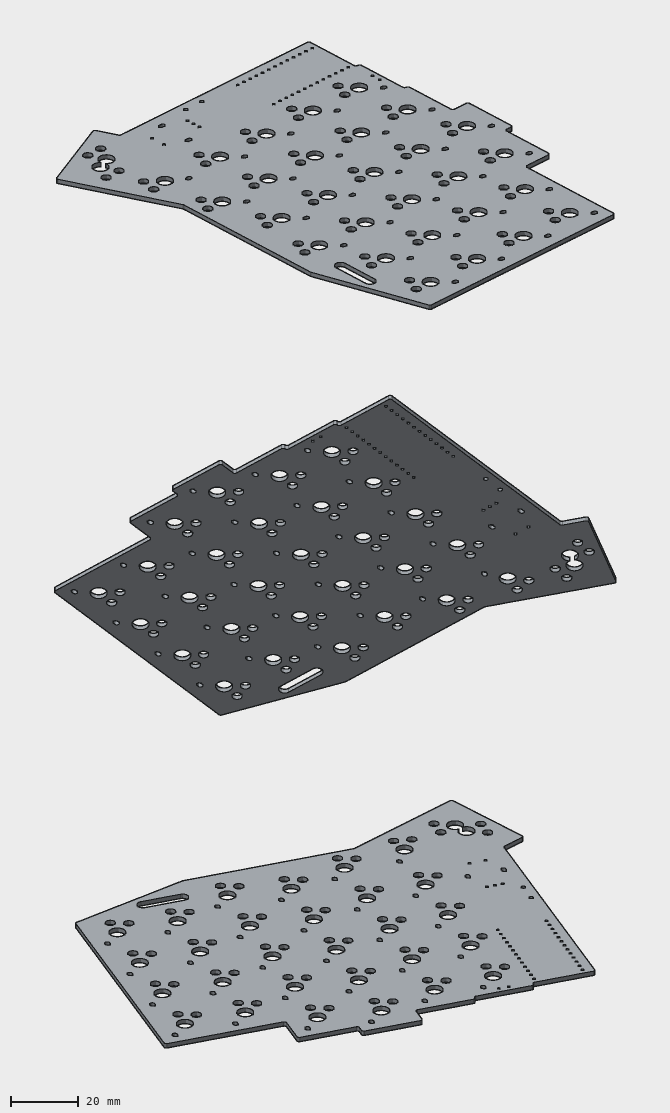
import cadquery as cq
import math

LENGTH = 141.02
WIDTH = 117.38
THICKNESS = 1.51

THUMB_TILT = 24.3
THUMB_BOTTOM_X = 12.2
MAIN_LEFT_X = 7.35
BOTTOM_Y = 16.4
SLANT_START_X = 102.8
RIGHT_LOW_Y = 28.4
RIGHT_TOP_Y = 104.0
STEP_X = (27.2, 46.1, 65.0, 84.0, 103.1)
STEP_Y = (108.1, 109.7, 111.15, WIDTH, 114.2)
CORNER_RADIUS = 0.7
ROUNDING_LOSS = CORNER_RADIUS * (
    math.cos(math.radians(THUMB_TILT)) + math.sin(math.radians(THUMB_TILT)) - 1
)

KEY_PITCH_X = 18.95
KEY_PITCH_Y = 18.98
FIRST_KEY_X = 36.6
COLUMNS = (
    (100.35, 4),
    (101.85, 5),
    (107.85, 5),
    (104.9, 5),
    (94.87, 4),
    (94.87, 4),
)
STEM_DIAMETER = 5.0
CONTACT_DIAMETER = 3.0
CONTACTS = ((-5.0, -3.8), (0.0, -5.9))
LOCATOR = (5.0, 5.15)
LOCATOR_WIDTH = 1.5
LOCATOR_LENGTH = 2.05
THUMB_KEY = (35.3, 22.05)
THUMB_KEY_ANGLE = 12.0
WIDE_KEY = (15.4, 16.15)
WIDE_KEY_STEM_OFFSET = 2.4

HEADER_PITCH = 2.54
HEADER_PINS = 13
HEADER_ROWS_X = (10.7, 25.94)
HEADER_BOTTOM_Y = 75.7
HEADER_DIAMETER = 0.81

LINK_PINS = ((34.5, 107.85), (37.6, 107.85))
LINK_DIAMETER = 0.81

BUTTON_X = 10.2
BUTTON_Y = 58.2
BUTTON_SPACING = 6.5
BUTTON_DIAMETER = 1.3

ENCODER = (17.65, 43.35)
ENCODER_PIN_PITCH = 2.5
ENCODER_UPPER_Y = 7.5
ENCODER_LOWER_Y = -7.0
ENCODER_PIN_DIAMETER = 0.9
ENCODER_LUG_X = 5.65
ENCODER_LUG_WIDTH = 1.4
ENCODER_LUG_LENGTH = 2.2

STRAP_SLOT = (112.4, 25.4)
STRAP_SLOT_LENGTH = 16.0
STRAP_SLOT_WIDTH = 3.6


def moved(point, origin, angle=0.0):
    """Turn a local point counterclockwise by an angle in degrees and shift it to an origin."""
    x, y = point
    c = math.cos(math.radians(angle))
    s = math.sin(math.radians(angle))
    return (origin[0] + c * x - s * y, origin[1] + s * x + c * y)


def round_cutters(points, diameter):
    """Through-cutters for round holes."""
    return cq.Workplane("XY").pushPoints(points).circle(diameter / 2).extrude(THICKNESS).vals()


def slot_cutters(center, length, width, angle):
    """Through-cutter for a round-ended slot whose long axis lies at an angle to X."""
    return cq.Workplane("XY").center(*center).slot2D(length, width, angle).extrude(THICKNESS).vals()


def plate():
    """Plate with every corner of its outline rounded."""
    slope = math.tan(math.radians(THUMB_TILT))
    bottom = (THUMB_BOTTOM_X, -ROUNDING_LOSS)
    left_y = (THUMB_BOTTOM_X + ROUNDING_LOSS) / slope - ROUNDING_LOSS
    points = [
        bottom,
        (THUMB_BOTTOM_X + (BOTTOM_Y + ROUNDING_LOSS) / slope, BOTTOM_Y),
        (SLANT_START_X, BOTTOM_Y),
        (LENGTH, RIGHT_LOW_Y),
        (LENGTH, RIGHT_TOP_Y),
        (STEP_X[4], RIGHT_TOP_Y),
        (STEP_X[4], STEP_Y[4]),
        (STEP_X[3], STEP_Y[4]),
        (STEP_X[3], STEP_Y[3]),
        (STEP_X[2], STEP_Y[3]),
        (STEP_X[2], STEP_Y[2]),
        (STEP_X[1], STEP_Y[2]),
        (STEP_X[1], STEP_Y[1]),
        (STEP_X[0], STEP_Y[1]),
        (STEP_X[0], STEP_Y[0]),
        (MAIN_LEFT_X, STEP_Y[0]),
        (MAIN_LEFT_X, left_y + (MAIN_LEFT_X + ROUNDING_LOSS) * slope),
        (-ROUNDING_LOSS, left_y),
    ]
    blank = cq.Workplane("XY").polyline(points).close().extrude(THICKNESS)
    return blank.edges("|Z").fillet(CORNER_RADIUS)


def stem_and_contact_cutters(center, angle):
    contacts = [moved(contact, center, angle) for contact in CONTACTS]
    return round_cutters([center], STEM_DIAMETER) + round_cutters(contacts, CONTACT_DIAMETER)


def key_cutters(center, angle=0.0):
    locator = moved(LOCATOR, center, angle)
    slot = slot_cutters(locator, LOCATOR_LENGTH, LOCATOR_WIDTH, 90 + angle)
    return stem_and_contact_cutters(center, angle) + slot


def key_grid_cutters():
    cutters = []
    for column, (top_y, count) in enumerate(COLUMNS):
        x = FIRST_KEY_X + column * KEY_PITCH_X
        for row in range(count):
            cutters += key_cutters((x, top_y - row * KEY_PITCH_Y))
    return cutters


def wide_key_cutters():
    """Two overlapping hole sets, so that the key can be fitted either way round."""
    cutters = []
    for angle in (THUMB_TILT + 90, THUMB_TILT - 90):
        stem = moved((-WIDE_KEY_STEM_OFFSET, 0), WIDE_KEY, angle)
        cutters += stem_and_contact_cutters(stem, angle)
    return cutters


def header_cutters():
    heights = [HEADER_BOTTOM_Y + pin * HEADER_PITCH for pin in range(HEADER_PINS)]
    pins = [(x, y) for x in HEADER_ROWS_X for y in heights]
    return round_cutters(pins, HEADER_DIAMETER)


def button_cutters():
    pins = [(BUTTON_X, BUTTON_Y + side * BUTTON_SPACING / 2) for side in (-1, 1)]
    return round_cutters(pins, BUTTON_DIAMETER)


def encoder_cutters():
    upper = [(step * ENCODER_PIN_PITCH, ENCODER_UPPER_Y) for step in (-1, 0, 1)]
    lower = [(step * ENCODER_PIN_PITCH, ENCODER_LOWER_Y) for step in (-1, 1)]
    pins = [moved(pin, ENCODER) for pin in upper + lower]
    cutters = round_cutters(pins, ENCODER_PIN_DIAMETER)
    for side in (-1, 1):
        lug = moved((side * ENCODER_LUG_X, 0), ENCODER)
        cutters += slot_cutters(lug, ENCODER_LUG_LENGTH, ENCODER_LUG_WIDTH, 90)
    return cutters


all_cutters = (
    key_grid_cutters()
    + key_cutters(THUMB_KEY, THUMB_KEY_ANGLE)
    + wide_key_cutters()
    + header_cutters()
    + round_cutters(LINK_PINS, LINK_DIAMETER)
    + button_cutters()
    + encoder_cutters()
    + slot_cutters(STRAP_SLOT, STRAP_SLOT_LENGTH, STRAP_SLOT_WIDTH, 0)
)
result = cq.Workplane(plate().val().cut(*all_cutters).Solids()[0])